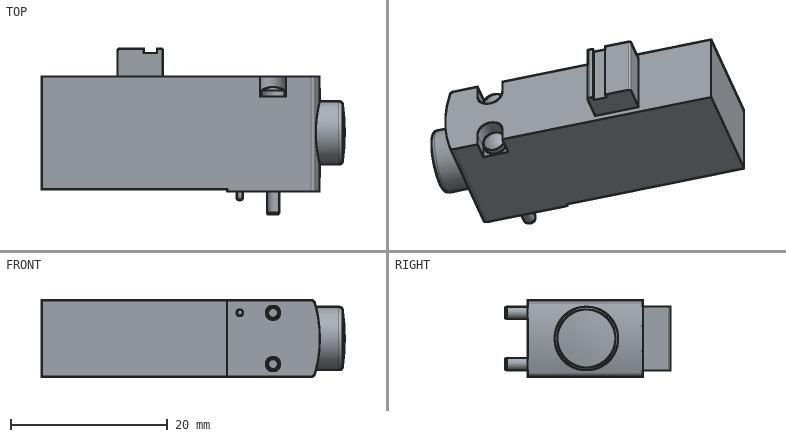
import cadquery as cq
import math

LENGTH = 35.47
DEPTH = 14.4
HEIGHT = 9.8
HALF_HEIGHT = HEIGHT / 2
FACE_RADIUS = 16.6
CORNER_RADIUS = 0.55

PAD_START = 23.66
PAD_RISE = 0.3

BUTTON_DIAMETER = 8.1
BUTTON_END = 38.66
BUTTON_OVERLAP = 2
BUTTON_RIM = 0.8
BUTTON_DOME = 0.27
BUTTON_DOME_SPREAD = 3.7

CONNECTOR_START = 9.67
CONNECTOR_LENGTH = 5.8
CONNECTOR_RISE = 3.55
CONNECTOR_HEIGHT = 8.2
CONNECTOR_ROUND = 0.3
NOTCH_START = 13.05
NOTCH_WIDTH = 1.65
NOTCH_DEPTH = 0.57

PEG_X = 25.26
PEG_DIAMETER = 0.8
PEG_LENGTH = 1.1

SCREW_X = 29.5
SCREW_Z = 3.27
SHANK_DIAMETER = 1.6
TIP_DIAMETER = 1.3
TIP_LENGTH = 0.25
SCREW_REACH = 2.9
HEAD_DIAMETER = 2.9
HEAD_RIM = 0.75
HEAD_DOME = 0.45
HOLE_DIAMETER = 1.8
SLOT_WIDTH = 3.3
SLOT_DEPTH = 2.55
SEAT_Y = DEPTH - SLOT_DEPTH


def block(x, y, z):
    """Box spanning the given (start, end) pairs."""
    size = [end - start for start, end in (x, y, z)]
    return cq.Workplane("XY").box(*size, centered=False).translate((x[0], y[0], z[0]))


def rod(x, y, z, diameter):
    """Cylinder along Y at (x, z), spanning the (start, end) pair y."""
    circle = cq.Workplane("XZ", origin=(x, y[0], z)).circle(diameter / 2)
    return circle.extrude(y[0] - y[1])


def make_shell():
    """Block with a crowned end face and the raised mounting pad."""
    corner_x = LENGTH - FACE_RADIUS + math.sqrt(FACE_RADIUS**2 - HALF_HEIGHT**2)
    outline = (
        cq.Workplane("XZ", origin=(0, DEPTH, 0))
        .moveTo(0, -HALF_HEIGHT)
        .lineTo(corner_x, -HALF_HEIGHT)
        .threePointArc((LENGTH, 0), (corner_x, HALF_HEIGHT))
        .lineTo(0, HALF_HEIGHT)
        .close()
    )
    shell = outline.extrude(DEPTH + PAD_RISE)
    shell = shell.edges("|Y and (not <X)").fillet(CORNER_RADIUS)
    step = block((0, PAD_START), (-PAD_RISE, 0), (-HALF_HEIGHT, HALF_HEIGHT))
    return shell.cut(step)


def make_button():
    """Button revolved about an X axis, with a rounded rim and a shallow dome."""
    radius = BUTTON_DIAMETER / 2
    root = LENGTH - BUTTON_OVERLAP
    rim_start = BUTTON_END - BUTTON_RIM
    rim_end = BUTTON_END - BUTTON_DOME
    dome_radius = (BUTTON_DOME_SPREAD**2 + BUTTON_DOME**2) / (2 * BUTTON_DOME)
    profile = (
        cq.Workplane("XY", origin=(0, DEPTH / 2, 0))
        .moveTo(root, 0)
        .lineTo(root, radius)
        .lineTo(rim_start, radius)
        .tangentArcPoint((rim_end, BUTTON_DOME_SPREAD), relative=False)
        .radiusArc((BUTTON_END, 0), dome_radius)
        .close()
    )
    return profile.revolve(360, (0, 0, 0), (1, 0, 0))


def make_connector():
    """Notched block with rounded outer corners on the back."""
    half = CONNECTOR_HEIGHT / 2
    top = DEPTH + CONNECTOR_RISE
    body = block((CONNECTOR_START, CONNECTOR_START + CONNECTOR_LENGTH), (DEPTH, top), (-half, half))
    body = body.faces(">Y").edges("|Z").fillet(CONNECTOR_ROUND)
    notch = block((NOTCH_START, NOTCH_START + NOTCH_WIDTH), (top - NOTCH_DEPTH, top), (-half, half))
    return body.cut(notch)


def make_peg():
    """Locating peg with a hemispherical tip."""
    radius = PEG_DIAMETER / 2
    shoulder = radius - PAD_RISE - PEG_LENGTH
    peg = rod(PEG_X, (shoulder, 0), SCREW_Z, PEG_DIAMETER)
    return peg.union(cq.Workplane("XY").sphere(radius).translate((PEG_X, shoulder, SCREW_Z)))


def cut_screw_seat(body, side):
    """Clearance hole and a U-shaped head slot that opens to the top or bottom (side +1 or -1)."""
    z = side * SCREW_Z
    half = SLOT_WIDTH / 2
    body = body.cut(rod(SCREW_X, (-PAD_RISE, DEPTH), z, HOLE_DIAMETER))
    body = body.cut(rod(SCREW_X, (SEAT_Y, DEPTH), z, SLOT_WIDTH))
    z_range = sorted((z, side * HALF_HEIGHT))
    return body.cut(block((SCREW_X - half, SCREW_X + half), (SEAT_Y, DEPTH), z_range))


def make_housing():
    body = make_shell().union(make_button()).union(make_connector()).union(make_peg())
    for side in (1, -1):
        body = cut_screw_seat(body, side)
    return body


def make_screw(z):
    """Domed-head screw along Y, seated in its slot, with a tapered tip."""
    shank = SHANK_DIAMETER / 2
    head = HEAD_DIAMETER / 2
    tip = -PAD_RISE - SCREW_REACH
    rim = SEAT_Y + HEAD_RIM
    dome_radius = (head**2 + HEAD_DOME**2) / (2 * HEAD_DOME)
    profile = (
        cq.Workplane("XY", origin=(SCREW_X, 0, z))
        .moveTo(0, tip)
        .lineTo(TIP_DIAMETER / 2, tip)
        .lineTo(shank, tip + TIP_LENGTH)
        .lineTo(shank, SEAT_Y)
        .lineTo(head, SEAT_Y)
        .lineTo(head, rim)
        .radiusArc((0, rim + HEAD_DOME), -dome_radius)
        .close()
    )
    return profile.revolve(360, (0, 0, 0), (0, 1, 0))


housing = make_housing()
screws = [make_screw(side * SCREW_Z) for side in (1, -1)]
result = cq.Compound.makeCompound([housing.val(), *[screw.val() for screw in screws]])